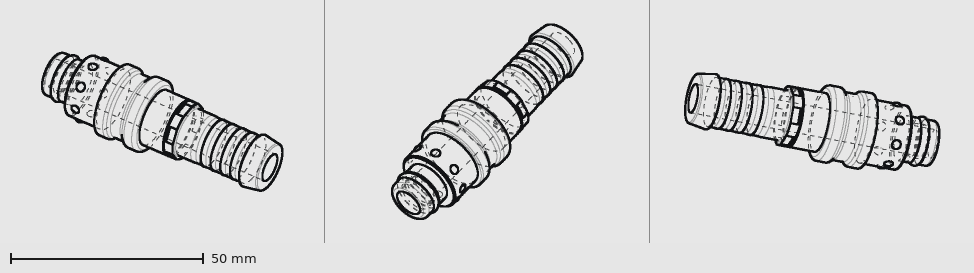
import cadquery as cq
import math

LENGTH = 66.0
BORE_R = 7.5 / 2

NOSE_R = 11.95 / 2
NOSE_FILLET = 1.05
GROOVE_R = 9.0 / 2
GROOVE_START = 3.05
GROOVE_END = 5.35
RING_OUTER_R = 13.0 / 2
CORD_R = (RING_OUTER_R - GROOVE_R) / 2
RING_X = GROOVE_START + CORD_R

SLEEVE_START = 8.65
SLEEVE_R = 16.95 / 2
SLEEVE_CHAMFER = 0.3
BUMP_COUNT = 8
BUMP_X = 12.1
BUMP_TURN = -2.4
BUMP_RIM_R = 1.155
BUMP_TIP_R = 18.0 / 2
BUMP_HEIGHT = BUMP_TIP_R - SLEEVE_R
BUMP_SPHERE_R = (BUMP_RIM_R ** 2 + BUMP_HEIGHT ** 2) / (2 * BUMP_HEIGHT)

COLLAR_R = 20.0 / 2
WAIST_R = 18.0 / 2
COLLAR_START = 18.55
COLLAR_EDGE = 0.4
FRONT_CREST_END = 21.3
REAR_CREST_START = 27.7
COLLAR_END = 31.1
COLLAR_FILLET = 1.0
FLANK_ANGLE = math.radians(60)
FLANK_RISE = COLLAR_R - WAIST_R
FLANK_ARC_R = FLANK_RISE / (2 * (1 - math.cos(FLANK_ANGLE)))
FLANK_RUN = 2 * FLANK_ARC_R * math.sin(FLANK_ANGLE)

REAR_R = 15.6 / 2
THIN_GROOVE_START = 38.3
THIN_GROOVE_WIDTH = 0.2
THIN_GROOVE_DEPTH = 0.2
FLATS_START = 39.1
REAR_END = 41.1
ACROSS_FLATS = 15.0
FLAT_COUNT = 6

TAIL_R = 13.25 / 2
TAIL_FILLET = 0.3
BARB_COUNT = 5
BARB_START = 46.0
BARB_PITCH = 3.0
BARB_TAPER = 1.5
BARB_ROOT_R = 13.0 / 2
HEAD_START = BARB_START + BARB_COUNT * BARB_PITCH
HEAD_R = 7.3
HEAD_EDGE = 0.4
HEAD_END_R = 6.6
END_EDGE = 0.3

ARC_MID = math.sqrt(0.5)


def round_edge(profile, x, radius, size, rising):
    """Convex quarter round at the outer corner (x, radius)."""
    offset = size * (1 - ARC_MID)
    if rising:
        return (
            profile.lineTo(x, radius - size)
            .threePointArc((x + offset, radius - offset), (x + size, radius))
        )
    return (
        profile.lineTo(x - size, radius)
        .threePointArc((x - offset, radius - offset), (x, radius - size))
    )


def flank(profile, x, falling):
    """S-shaped flank from x, between collar crest and waist."""
    half_run = FLANK_RUN / 2
    mid_run = FLANK_ARC_R * math.sin(FLANK_ANGLE / 2)
    mid_rise = FLANK_ARC_R * (1 - math.cos(FLANK_ANGLE / 2))
    start_r = COLLAR_R if falling else WAIST_R
    end_r = WAIST_R if falling else COLLAR_R
    middle_r = (start_r + end_r) / 2
    step = -mid_rise if falling else mid_rise
    return (
        profile.lineTo(x, start_r)
        .threePointArc((x + mid_run, start_r + step), (x + half_run, middle_r))
        .threePointArc((x + FLANK_RUN - mid_run, end_r - step), (x + FLANK_RUN, end_r))
    )


def nose_profile(profile):
    profile = round_edge(profile, 0, NOSE_R, NOSE_FILLET, True)
    return (
        profile.lineTo(GROOVE_START, NOSE_R)
        .lineTo(GROOVE_START, GROOVE_R)
        .lineTo(GROOVE_END, GROOVE_R)
        .lineTo(GROOVE_END, NOSE_R)
        .lineTo(SLEEVE_START, NOSE_R)
    )


def collar_profile(profile):
    profile = (
        profile.lineTo(SLEEVE_START, SLEEVE_R - SLEEVE_CHAMFER)
        .lineTo(SLEEVE_START + SLEEVE_CHAMFER, SLEEVE_R)
        .lineTo(COLLAR_START, SLEEVE_R)
    )
    profile = round_edge(profile, COLLAR_START, COLLAR_R, COLLAR_EDGE, True)
    profile = flank(profile, FRONT_CREST_END, True)
    profile = flank(profile, REAR_CREST_START - FLANK_RUN, False)
    profile = round_edge(profile, COLLAR_END, COLLAR_R, COLLAR_FILLET, False)
    return profile.lineTo(COLLAR_END, REAR_R)


def tail_profile(profile):
    fillet_mid = TAIL_FILLET * (1 - ARC_MID)
    profile = (
        profile.lineTo(REAR_END, REAR_R)
        .lineTo(REAR_END, TAIL_R + TAIL_FILLET)
        .threePointArc(
            (REAR_END + fillet_mid, TAIL_R + fillet_mid), (REAR_END + TAIL_FILLET, TAIL_R)
        )
    )
    for i in range(BARB_COUNT):
        x = BARB_START + i * BARB_PITCH
        if i > 0:
            profile = profile.lineTo(x, BARB_ROOT_R)
        profile = profile.lineTo(x, TAIL_R).lineTo(x + BARB_TAPER, BARB_ROOT_R)
    profile = profile.lineTo(HEAD_START, BARB_ROOT_R)
    profile = round_edge(profile, HEAD_START, HEAD_R, HEAD_EDGE, True)
    return round_edge(profile, LENGTH, HEAD_END_R, END_EDGE, False)


def make_thin_groove():
    ring = cq.Workplane("YZ", origin=(THIN_GROOVE_START, 0, 0))
    return ring.circle(REAR_R).circle(REAR_R - THIN_GROOVE_DEPTH).extrude(THIN_GROOVE_WIDTH)


def make_flats_cutter():
    """Everything outside the hexagon whose flats face +Z and -Z."""
    corner_diameter = ACROSS_FLATS / math.cos(math.pi / FLAT_COUNT)
    return (
        cq.Workplane("YZ", origin=(FLATS_START, 0, 0))
        .circle(corner_diameter)
        .polygon(FLAT_COUNT, corner_diameter)
        .extrude(REAR_END - FLATS_START)
    )


def make_bump(angle):
    center = (BUMP_X, 0, BUMP_TIP_R - BUMP_SPHERE_R)
    ball = cq.Workplane("XY", origin=center).sphere(BUMP_SPHERE_R)
    return ball.rotate((0, 0, 0), (1, 0, 0), angle)


def make_coupling():
    profile = cq.Workplane("XY").moveTo(0, BORE_R)
    profile = nose_profile(profile)
    profile = collar_profile(profile)
    profile = tail_profile(profile)
    coupling = profile.lineTo(LENGTH, BORE_R).close().revolve(360, (0, 0, 0), (1, 0, 0))
    coupling = coupling.cut(make_thin_groove()).cut(make_flats_cutter())
    for i in range(BUMP_COUNT):
        coupling = coupling.union(make_bump(BUMP_TURN + i * 360 / BUMP_COUNT))
    return coupling


def make_sealing_ring():
    return (
        cq.Workplane("XY")
        .center(RING_X, GROOVE_R + CORD_R)
        .circle(CORD_R)
        .revolve(360, (0, -GROOVE_R - CORD_R, 0), (1, -GROOVE_R - CORD_R, 0))
    )


coupling = make_coupling()
sealing_ring = make_sealing_ring()
result = cq.Compound.makeCompound([coupling.solids().val(), sealing_ring.solids().val()])